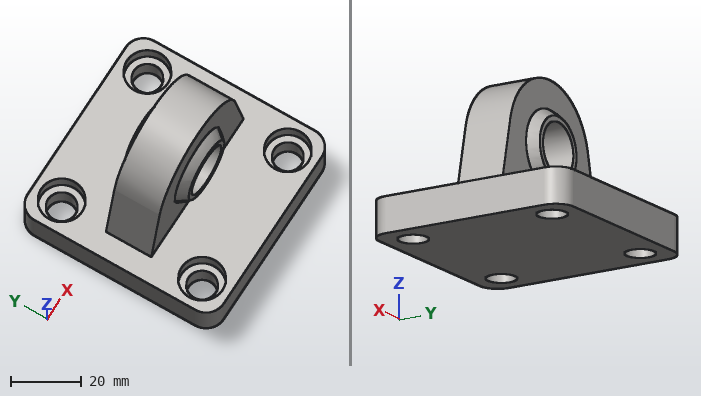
import cadquery as cq
import math

plate_side = 65.0
plate_height = 11.0
corner_radius = 5.85

hole_pitch = 46.55
hole_diameter = 9.0
counterbore_diameter = 13.5
counterbore_depth = 4.5

lug_thickness = 15.0
lug_base_width = 50.05
lug_top_radius = 21.0
pivot_height = 27.0

ball_radius = 14.3
ball_width = 21.05
ball_bore_diameter = 16.0


def make_plate():
    """Rounded square plate with a counterbored hole near each corner."""
    return (
        cq.Workplane("XY")
        .box(plate_side, plate_side, plate_height, centered=(True, True, False))
        .edges("|Z")
        .fillet(corner_radius)
        .faces(">Z")
        .workplane()
        .rect(hole_pitch, hole_pitch, forConstruction=True)
        .vertices()
        .cboreHole(hole_diameter, counterbore_diameter, counterbore_depth)
    )


def make_lug():
    """Upright lug whose slanted sides run tangent into the round top."""
    half_base = lug_base_width / 2
    rise = pivot_height - plate_height
    foot_distance = math.hypot(half_base, rise)
    tangent_angle = math.acos(lug_top_radius / foot_distance) - math.atan2(rise, half_base)
    tangent_x = lug_top_radius * math.cos(tangent_angle)
    tangent_z = pivot_height + lug_top_radius * math.sin(tangent_angle)
    return (
        cq.Workplane("XZ")
        .moveTo(-half_base, plate_height)
        .lineTo(half_base, plate_height)
        .lineTo(tangent_x, tangent_z)
        .threePointArc((0, pivot_height + lug_top_radius), (-tangent_x, tangent_z))
        .close()
        .extrude(lug_thickness / 2, both=True)
    )


def make_ball_envelope():
    """Sphere about the pivot, cut flat at both ends along Y."""
    sphere = cq.Workplane("XY").sphere(ball_radius)
    slab = cq.Workplane("XY").box(2 * ball_radius, ball_width, 2 * ball_radius)
    return sphere.intersect(slab).translate((0, 0, pivot_height))


def make_housing():
    """Plate and lug in one piece, with a spherical seat for the ball."""
    return make_plate().union(make_lug()).cut(make_ball_envelope())


def make_ball():
    """Bearing ball with a through bore along Y."""
    bore = (
        cq.Workplane("XZ")
        .center(0, pivot_height)
        .circle(ball_bore_diameter / 2)
        .extrude(ball_width / 2, both=True)
    )
    return make_ball_envelope().cut(bore)


housing = make_housing()
ball = make_ball()

result = cq.Compound.makeCompound([housing.solids().val(), ball.solids().val()])